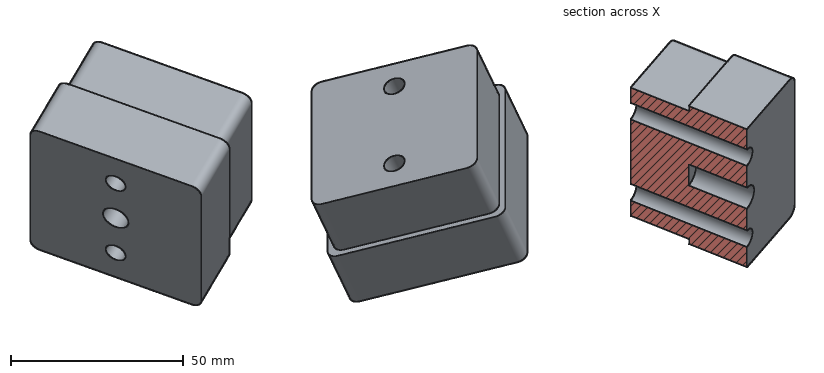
import cadquery as cq

front_side = 54.6
front_corner_radius = 3.15

rear_side = 50.8
rear_corner_radius = 3.15

total_depth = 39.1
front_depth = total_depth / 2
rear_depth = total_depth - front_depth

through_hole_diameter = 6.35
through_hole_spacing = 32.0
blind_hole_diameter = 8.15
blind_hole_depth = front_depth


def rounded_block(side, depth, corner_radius, front_y):
    """Square block running toward +Y from front_y, with its four long edges rounded."""
    return (
        cq.Workplane("XZ", origin=(0, front_y, 0))
        .rect(side, side)
        .extrude(-depth)
        .edges("|Y")
        .fillet(corner_radius)
    )


def hole_cutter(diameter, depth, center_z):
    """Round cutter starting at the front face and running toward +Y."""
    return (
        cq.Workplane("XZ")
        .center(0, center_z)
        .circle(diameter / 2)
        .extrude(-depth)
    )


front_block = rounded_block(front_side, front_depth, front_corner_radius, 0)
rear_block = rounded_block(rear_side, rear_depth, rear_corner_radius, front_depth)
result = front_block.union(rear_block)

for center_z in (-through_hole_spacing / 2, through_hole_spacing / 2):
    result = result.cut(hole_cutter(through_hole_diameter, total_depth, center_z))

result = result.cut(hole_cutter(blind_hole_diameter, blind_hole_depth, 0))